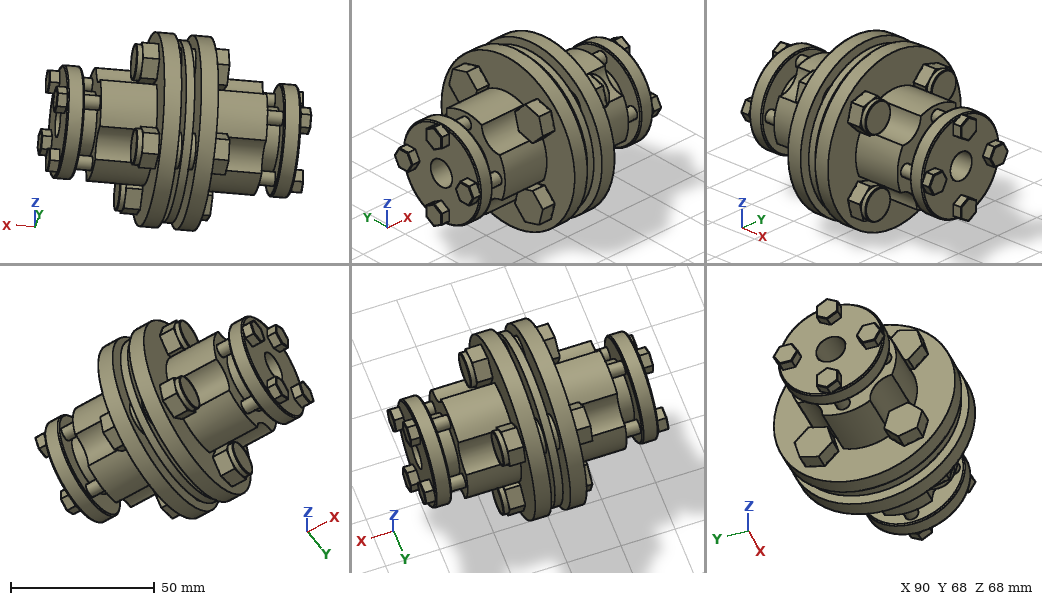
import cadquery as cq
import math


overall_length = 90.0
half_length = overall_length / 2
disc_thickness = 3.0
flange_inner_x = 3.5
flange_thickness = 6.0
flange_outer_x = flange_inner_x + flange_thickness
barrel_end_x = 29.4
plate_thickness = 6.0
screw_head_height = 3.7
plate_outer_x = half_length - screw_head_height
plate_inner_x = plate_outer_x - plate_thickness

flange_diameter = 68.0
disc_diameter = 64.0
barrel_diameter = 39.6
plate_diameter = barrel_diameter
plate_chamfer = 0.495
neck_diameter = 22.95
bore_diameter = 11.0

bolt_count = 4
first_bolt_angle = 45.0
scallop_radius = 8.55
scallop_circle_radius = 24.75
scallop_turn = -3.6

screw_count = 4
screw_circle_radius = 15.6
screw_diameter = 5.0
screw_head_across_flats = 7.9
screw_head_chamfer = 0.3

bolt_circle_radius = 23.8
bolt_diameter = 12.8
bolt_hex_across_flats = 12.8
bolt_hex_height = 5.8
bolt_tip_length = 2.2
bolt_tip_chamfer = 0.3
nut_outer_x = flange_outer_x + bolt_hex_height
bolt_tip_x = nut_outer_x + bolt_tip_length


def section_plane(x):
    """Plane across the axis at x; its local x and y are the global Y and Z."""
    return cq.Workplane("YZ", origin=(x, 0, 0))


def axial_cylinder(diameter, x_start, x_end, center=(0, 0)):
    """Cylinder along X around the given (Y, Z) center."""
    return section_plane(x_start).center(*center).circle(diameter / 2).extrude(x_end - x_start)


def axial_hexagon(across_flats, x_start, x_end, center, corner_angle):
    """Hexagonal prism along X with one corner pointing at corner_angle in the YZ plane."""
    corner_diameter = across_flats / math.cos(math.pi / 6)
    prism = section_plane(x_start).polygon(6, corner_diameter).extrude(x_end - x_start)
    return prism.rotate((0, 0, 0), (1, 0, 0), corner_angle).translate((0, *center))


def circle_positions(radius, count, first_angle):
    """List of (angle, (Y, Z)) for points evenly spaced on a circle around the axis."""
    angles = [first_angle + i * 360 / count for i in range(count)]
    return [
        (angle, (radius * math.cos(math.radians(angle)), radius * math.sin(math.radians(angle))))
        for angle in angles
    ]


bolt_positions = circle_positions(bolt_circle_radius, bolt_count, first_bolt_angle)


def cut_bolt_holes(body, x_start, x_end):
    """Cut a close-fitting hole for every through bolt."""
    for _, center in bolt_positions:
        body = body.cut(axial_cylinder(bolt_diameter, x_start, x_end, center))
    return body


def make_barrel():
    """Hub barrel with one scallop beside each bolt."""
    barrel = axial_cylinder(barrel_diameter, flange_outer_x, barrel_end_x)
    scallop_angle = first_bolt_angle + scallop_turn
    for _, center in circle_positions(scallop_circle_radius, bolt_count, scallop_angle):
        barrel = barrel.cut(axial_cylinder(2 * scallop_radius, flange_outer_x, barrel_end_x, center))
    return barrel


def make_clamp_plate():
    """Round end plate with both rims chamfered."""
    plate = axial_cylinder(plate_diameter, plate_inner_x, plate_outer_x)
    return plate.edges().chamfer(plate_chamfer)


def make_screw(center, corner_angle):
    """Plate screw: shank across the gap and hexagon head on the plate."""
    shank = axial_cylinder(screw_diameter, barrel_end_x, plate_outer_x, center)
    head = axial_hexagon(screw_head_across_flats, plate_outer_x, half_length, center, corner_angle)
    return shank.union(head.faces(">X").chamfer(screw_head_chamfer))


def make_hub():
    """Hub on the +X side: flange, scalloped barrel, neck, clamp plate and its screws."""
    flange = axial_cylinder(flange_diameter, flange_inner_x, flange_outer_x)
    neck = axial_cylinder(neck_diameter, barrel_end_x, plate_inner_x)
    hub = flange.union(make_barrel()).union(neck).union(make_clamp_plate())
    for angle, center in circle_positions(screw_circle_radius, screw_count, 0):
        hub = hub.union(make_screw(center, angle))
    hub = hub.cut(axial_cylinder(bore_diameter, flange_inner_x, half_length))
    return cut_bolt_holes(hub, flange_inner_x, flange_outer_x)


def make_disc():
    """Middle disc carried on the through bolts."""
    half_thickness = disc_thickness / 2
    disc = axial_cylinder(disc_diameter, -half_thickness, half_thickness)
    disc = disc.cut(axial_cylinder(bore_diameter, -half_thickness, half_thickness))
    return cut_bolt_holes(disc, -half_thickness, half_thickness)


def make_bolt(center, corner_angle):
    """Through bolt with its head at -X and its nut at +X."""
    shank = axial_cylinder(bolt_diameter, -flange_outer_x, bolt_tip_x, center)
    shank = shank.faces(">X").chamfer(bolt_tip_chamfer)
    head = axial_hexagon(bolt_hex_across_flats, -nut_outer_x, -flange_outer_x, center, corner_angle)
    nut = axial_hexagon(bolt_hex_across_flats, flange_outer_x, nut_outer_x, center, corner_angle)
    return shank.union(head).union(nut)


right_hub = make_hub()
left_hub = right_hub.mirror("YZ")
disc = make_disc()
bolts = [make_bolt(center, angle) for angle, center in bolt_positions]

result = cq.Compound.makeCompound(
    [body.solids().val() for body in (left_hub, right_hub, disc, *bolts)]
)